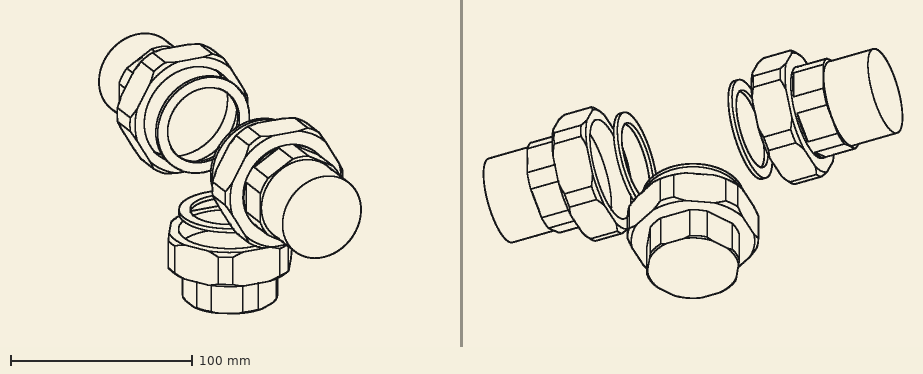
import cadquery as cq
import math

OVERALL_LENGTH = 231.2
BRANCH_REACH = 90.0
MOUTH_DISTANCE = 49.7
SIDE_RING_DISTANCE = 33.3
LOWER_RING_DISTANCE = 38.0

NUT_LENGTH = 20.3
NUT_ACROSS_FLATS = 66.4
NUT_DIAMETER = 72.4
NUT_CHAMFER = 2.0
BORE_DIAMETER = 56.9
BORE_DEPTH = 11.5

TAIL_ACROSS_FLATS = 49.5
TAIL_DIAMETER = 52.5
SIDE_TAIL_END = 89.0
COLLAR_LENGTH = 1.2
TAIL_END_CHAMFER = 1.0

PIPE_DIAMETER = 48.3

RING_OUTER_DIAMETER = 56.5
RING_INNER_DIAMETER = 44.2
RING_THICKNESS = 2.3

BACK_FACE_DISTANCE = MOUTH_DISTANCE + NUT_LENGTH
SIDE_TAIL_LENGTH = SIDE_TAIL_END - BACK_FACE_DISTANCE
LOWER_TAIL_LENGTH = BRANCH_REACH - BACK_FACE_DISTANCE
PIPE_LENGTH = OVERALL_LENGTH / 2 - SIDE_TAIL_END


def cylinder_below(top, diameter, length):
    """Cylinder on the Z axis that runs down from the height `top`."""
    return cq.Workplane("XY").workplane(offset=top).circle(diameter / 2).extrude(-length)


def hexagon_below(top, across_flats, length, turn):
    """Hexagonal bar that runs down from `top`; at turn 0 its corners lie on the X axis."""
    across_corners = across_flats / math.cos(math.pi / 6)
    bar = cq.Workplane("XY").workplane(offset=top).polygon(6, across_corners).extrude(-length)
    return bar.rotate((0, 0, 0), (0, 0, 1), turn)


def make_nut():
    """Chamfered hexagon with rounded corners, its corners on the Y axis, and a blind bore."""
    blank = cylinder_below(0, NUT_DIAMETER, NUT_LENGTH).edges().chamfer(NUT_CHAMFER)
    nut = blank.intersect(hexagon_below(0, NUT_ACROSS_FLATS, NUT_LENGTH, 90))
    return nut.cut(cylinder_below(0, BORE_DIAMETER, BORE_DEPTH))


def make_side_fitting():
    """Nut, collar, hexagonal tailpiece and plain pipe end in one solid."""
    collar = cylinder_below(-NUT_LENGTH, TAIL_DIAMETER, COLLAR_LENGTH)
    tail_round = cylinder_below(-NUT_LENGTH, TAIL_DIAMETER, SIDE_TAIL_LENGTH)
    tail = tail_round.intersect(hexagon_below(-NUT_LENGTH, TAIL_ACROSS_FLATS, SIDE_TAIL_LENGTH, 0))
    pipe = cylinder_below(-NUT_LENGTH - SIDE_TAIL_LENGTH, PIPE_DIAMETER, PIPE_LENGTH)
    return make_nut().union(collar).union(tail).union(pipe)


def make_lower_fitting():
    """Nut and hexagonal tailpiece with a chamfered end in one solid."""
    tail_round = cylinder_below(-NUT_LENGTH, TAIL_DIAMETER, LOWER_TAIL_LENGTH)
    tail_round = tail_round.faces("<Z").edges().chamfer(TAIL_END_CHAMFER)
    tail = tail_round.intersect(hexagon_below(-NUT_LENGTH, TAIL_ACROSS_FLATS, LOWER_TAIL_LENGTH, 0))
    return make_nut().union(tail)


def make_ring():
    """Flat sealing ring below Z = 0."""
    ring = cylinder_below(0, RING_OUTER_DIAMETER, RING_THICKNESS)
    return ring.cut(cylinder_below(0, RING_INNER_DIAMETER, RING_THICKNESS))


def place(body, distance, turn):
    """Solid moved down the branch by `distance`, with the branch then turned about Y."""
    moved = body.translate((0, 0, -distance)).rotate((0, 0, 0), (0, 1, 0), turn)
    return moved.solids().val()


bodies = [
    place(make_lower_fitting(), MOUTH_DISTANCE, 0),
    place(make_ring(), LOWER_RING_DISTANCE, 0),
]

for side_turn in (90, -90):
    bodies.append(place(make_side_fitting(), MOUTH_DISTANCE, side_turn))
    bodies.append(place(make_ring(), SIDE_RING_DISTANCE, side_turn))

result = cq.Compound.makeCompound(bodies)